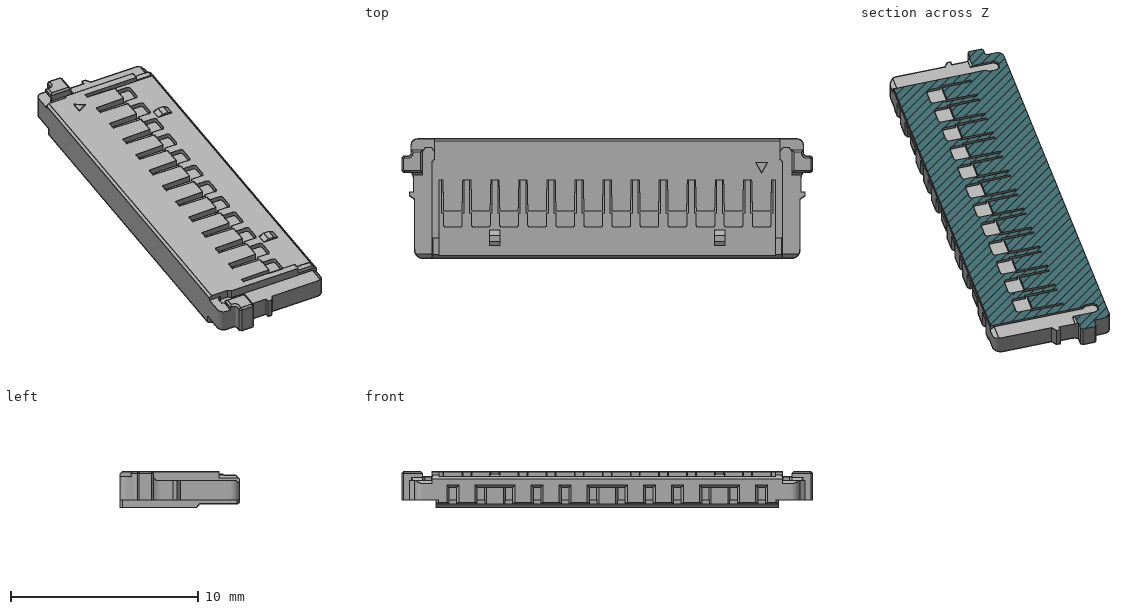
import cadquery as cq

WIDTH, DEPTH, HEIGHT = 21.95, 6.4, 1.92
FRONT, BACK = -DEPTH / 2, DEPTH / 2
MARGIN = 1.0

PITCH = 1.5
CONTACTS = 12
CONTACT_X = [(i - (CONTACTS - 1) / 2) * PITCH for i in range(CONTACTS)]
PAIRED_CONTACTS = [(1, 2), (5, 6), (9, 10)]

FRONT_UNDERSIDE_Z = 0.2
FLANGE_BOTTOM_Z = 0.4
POCKET_FLOOR_Z = 1.42
FLANGE_TOP_Z = 1.455
LEDGE_Z = 1.6
SHELF_Z = 1.65
DECK_Z = 1.67
LOW_RAIL_Z = 1.73

BACK_HALF = 10.49
MIDDLE_HALF = 10.355
BLEND_BACK_X, BLEND_FRONT_Y, BLEND_RADIUS = 10.47, 1.03, 0.65
FRONT_HALF = 10.3
TOOTH_HALF = 10.575
TOOTH_BACK_Y, TOOTH_TIP_Y, TOOTH_FRONT_Y = 0.36, 0.15, -0.04
BACK_CORNER_RADIUS = 0.36
FRONT_CORNER_RADIUS = 0.46
FLANGE_EDGE_RUN, FLANGE_EDGE_DROP = 0.23, 0.17

LATCH_OUTER = WIDTH / 2
LATCH_INNER = 9.87
LATCH_FRONT_Y, LATCH_TAB_BACK_Y, LATCH_BACK_Y = 1.4, 2.27, 2.6
LATCH_NECK_RADIUS = 0.15
LATCH_CHAMFER = 0.1
LATCH_EDGE_CHAMFER = 0.1
LEDGE_FRONT_Y = 1.25

NOTCH_Y, NOTCH_CORNER_Y = 2.72, 2.53
NOTCH_CORNER = 0.14

PLATE_BACK_HALF, PLATE_HALF = 9.24, 9.375
JOG_BACK_Y, JOG_FRONT_Y = 2.1, 1.95
PLATE_FRONT_Y = -2.1
PLATE_BACK_CHAMFER = 0.13
RAIL_TOP_HALF = 9.31
RAIL_BEVEL_Z = 1.59
CHANNEL_HALF = 8.99
CHANNEL_BACK_Y = 1.0
DECK_FRONT_CHAMFER = 0.15

FINGER_ROOT_HALF, FINGER_TIP_HALF = 0.53, 0.49
FINGER_TIP_Y = -0.66
SLIT_HALF, SLIT_FRONT_Y = 0.6, -0.76
POCKET_HALF, POCKET_FRONT_Y = 0.5, -1.53
POCKET_RADIUS = 0.13

BUMP_X = 6.0
BUMP_WIDTH, BUMP_TOP_Z = 0.56, 1.785
BUMP_BACK_Y, BUMP_FLAT_BACK_Y, BUMP_FLAT_FRONT_Y, BUMP_FRONT_Y = -1.68, -1.96, -2.28, -2.51

MARK_HALF, MARK_BACK_Y, MARK_TIP_Y, MARK_DEPTH = 0.31, 1.92, 1.38, 0.03

BLOCK_HALF = 9.16
BLOCK_CHAMFER = 0.13
STEP_TOP_Y, STEP_BOTTOM_Y = -1.08, -0.9
FRONT_LOWER_CHAMFER = 0.07
GROOVE_HALF, GROOVE_INNER_HALF = 0.32, 0.2
GROOVE_TOP_Z = 1.2
GROOVE_DEPTH = 0.3
GROOVE_SILL_DEPTH = 0.25
GROOVE_BEVEL = 0.12
ISLAND_FACE_HALF, ISLAND_ROOT_HALF, ISLAND_SETBACK = 0.45, 0.57, 0.12


def box(x0, x1, y0, y1, z0, z1):
    """Box between two opposite corners."""
    return cq.Workplane("XY").box(x1 - x0, y1 - y0, z1 - z0, centered=False).translate((x0, y0, z0))


def prism(points, z0, z1):
    """Plan outline raised from z0 to z1."""
    return cq.Workplane("XY").workplane(offset=z0).polyline(points).close().extrude(z1 - z0)


def profile(points, x0, x1):
    """Outline of (Y, Z) points swept along X from x0 to x1."""
    return cq.Workplane("YZ").workplane(offset=x0).polyline(points).close().extrude(x1 - x0)


def round_corner(solid, x, y, radius):
    """Fillet the upright edge nearest to the plan corner (x, y)."""
    corner = cq.selectors.NearestToPointSelector((x, y, FLANGE_TOP_Z / 2))
    return solid.edges("|Z").edges(corner).fillet(radius)


def both_sides(right):
    """The right-hand shape together with its mirror image."""
    return right.union(right.mirror("YZ"))


def flange_blank(top_z):
    """Right half of the flange plan, raised to top_z."""
    return (
        cq.Workplane("XY")
        .workplane(offset=FLANGE_BOTTOM_Z)
        .moveTo(0, BACK)
        .lineTo(BACK_HALF, BACK)
        .lineTo(BACK_HALF, LATCH_FRONT_Y)
        .lineTo(BLEND_BACK_X, LATCH_FRONT_Y)
        .radiusArc((MIDDLE_HALF, BLEND_FRONT_Y), -BLEND_RADIUS)
        .lineTo(MIDDLE_HALF, TOOTH_BACK_Y)
        .lineTo(TOOTH_HALF, TOOTH_BACK_Y)
        .lineTo(TOOTH_HALF, TOOTH_TIP_Y)
        .lineTo(FRONT_HALF, TOOTH_FRONT_Y)
        .lineTo(FRONT_HALF, FRONT)
        .lineTo(0, FRONT)
        .close()
        .extrude(top_z - FLANGE_BOTTOM_Z)
    )


def make_flange():
    """Side flanges with rounded corners and a bevelled front edge."""
    right = flange_blank(FLANGE_TOP_Z)
    right = round_corner(right, BACK_HALF, BACK, BACK_CORNER_RADIUS)
    right = round_corner(right, FRONT_HALF, FRONT, FRONT_CORNER_RADIUS)
    front_edge = [
        (FRONT, FLANGE_TOP_Z - FLANGE_EDGE_DROP),
        (FRONT + FLANGE_EDGE_RUN, FLANGE_TOP_Z),
        (FRONT, FLANGE_TOP_Z),
    ]
    return both_sides(right.cut(profile(front_edge, 0, WIDTH)))


def make_shelf():
    """Raised back corner of the flange, notched beside the plate."""
    right_edge = [
        (0, BACK),
        (BACK_HALF, BACK),
        (BACK_HALF, NOTCH_CORNER_Y),
        (LATCH_INNER, NOTCH_CORNER_Y),
        (LATCH_INNER - NOTCH_CORNER, NOTCH_Y),
        (PLATE_BACK_HALF + NOTCH_CORNER, NOTCH_Y),
        (PLATE_BACK_HALF, NOTCH_CORNER_Y),
        (0, NOTCH_CORNER_Y),
    ]
    right = prism(right_edge, FLANGE_BOTTOM_Z, SHELF_Z)
    return both_sides(round_corner(right, BACK_HALF, BACK, BACK_CORNER_RADIUS))


def make_latches():
    """Bevelled side latches, each with a ramped ledge at its front foot."""
    right_edge = [
        (LATCH_INNER, LATCH_FRONT_Y),
        (LATCH_OUTER, LATCH_FRONT_Y),
        (LATCH_OUTER, LATCH_TAB_BACK_Y),
        (BACK_HALF, LATCH_TAB_BACK_Y),
        (BACK_HALF, LATCH_BACK_Y),
        (LATCH_INNER, LATCH_BACK_Y),
    ]
    right = prism(right_edge, FLANGE_BOTTOM_Z, HEIGHT)
    right = round_corner(right, BACK_HALF, LATCH_TAB_BACK_Y, LATCH_NECK_RADIUS)
    right = right.edges("|Z and >X").chamfer(LATCH_EDGE_CHAMFER)
    right = right.faces(">Z").chamfer(LATCH_CHAMFER)
    ramp = [
        (LEDGE_FRONT_Y, FLANGE_BOTTOM_Z),
        (LEDGE_FRONT_Y, FLANGE_TOP_Z),
        (LATCH_FRONT_Y, LEDGE_Z),
        (LATCH_FRONT_Y, FLANGE_BOTTOM_Z),
    ]
    ledge = flange_blank(LEDGE_Z).intersect(profile(ramp, LATCH_INNER, LATCH_OUTER))
    return both_sides(right.union(ledge))


def make_plate():
    """Raised top plate over a lower deck, reaching down to the front underside."""
    right_edge = [
        (0, BACK),
        (PLATE_BACK_HALF, BACK),
        (PLATE_BACK_HALF, JOG_BACK_Y),
        (PLATE_HALF, JOG_FRONT_Y),
        (PLATE_HALF, PLATE_FRONT_Y),
        (0, PLATE_FRONT_Y),
    ]
    plate = both_sides(prism(right_edge, FLANGE_BOTTOM_Z, HEIGHT))
    plate = plate.edges(">Y and >Z").chamfer(PLATE_BACK_CHAMFER)
    channel = box(-CHANNEL_HALF, CHANNEL_HALF, FRONT, CHANNEL_BACK_Y, DECK_Z, HEIGHT)
    deck = (
        cq.Workplane("XZ", origin=(0, PLATE_FRONT_Y, 0))
        .moveTo(-PLATE_HALF, FLANGE_BOTTOM_Z)
        .lineTo(-PLATE_HALF, RAIL_BEVEL_Z)
        .lineTo(-RAIL_TOP_HALF, LOW_RAIL_Z)
        .lineTo(RAIL_TOP_HALF, LOW_RAIL_Z)
        .lineTo(PLATE_HALF, RAIL_BEVEL_Z)
        .lineTo(PLATE_HALF, FLANGE_BOTTOM_Z)
        .close()
        .extrude(PLATE_FRONT_Y - FRONT)
    )
    front_edge = [
        (FRONT, DECK_Z - DECK_FRONT_CHAMFER),
        (FRONT + DECK_FRONT_CHAMFER + MARGIN, DECK_Z + MARGIN),
        (FRONT, DECK_Z + MARGIN),
    ]
    return plate.union(deck.cut(profile(front_edge, -WIDTH, WIDTH))).cut(channel)


def make_block():
    """Lower block, stepped up to a shallower underside at the front."""
    side = [
        (FRONT, FLANGE_BOTTOM_Z),
        (FRONT, FRONT_UNDERSIDE_Z + FRONT_LOWER_CHAMFER),
        (FRONT + BLOCK_CHAMFER, FRONT_UNDERSIDE_Z),
        (STEP_TOP_Y, FRONT_UNDERSIDE_Z),
        (STEP_BOTTOM_Y, 0),
        (BACK, 0),
        (BACK, FLANGE_BOTTOM_Z),
    ]
    block = profile(side, -BLOCK_HALF, BLOCK_HALF)
    return block.edges("|Z").edges(">Y or <Y").chamfer(BLOCK_CHAMFER)


def finger_pocket(x):
    """Recess in front of a finger, with a slit along each of its sides."""
    slits = box(x - SLIT_HALF, x + SLIT_HALF, SLIT_FRONT_Y, CHANNEL_BACK_Y, POCKET_FLOOR_Z, HEIGHT)
    recess = box(x - POCKET_HALF, x + POCKET_HALF, POCKET_FRONT_Y, CHANNEL_BACK_Y, POCKET_FLOOR_Z, HEIGHT)
    return slits.union(recess.edges("|Z and <Y").fillet(POCKET_RADIUS))


def make_finger(x):
    """Finger level with the top plate, narrowing toward its tip."""
    outline = [
        (x - FINGER_ROOT_HALF, CHANNEL_BACK_Y),
        (x + FINGER_ROOT_HALF, CHANNEL_BACK_Y),
        (x + FINGER_TIP_HALF, FINGER_TIP_Y),
        (x - FINGER_TIP_HALF, FINGER_TIP_Y),
    ]
    return prism(outline, POCKET_FLOOR_Z, HEIGHT)


def make_bump(x):
    """Small ridge on the deck, sloped at its front and back."""
    side = [
        (BUMP_FRONT_Y, DECK_Z),
        (BUMP_FLAT_FRONT_Y, BUMP_TOP_Z),
        (BUMP_FLAT_BACK_Y, BUMP_TOP_Z),
        (BUMP_BACK_Y, DECK_Z),
    ]
    return profile(side, x - BUMP_WIDTH / 2, x + BUMP_WIDTH / 2)


def front_groove(x0, x1):
    """Groove in the front face serving contacts from x0 to x1, bevelled at its mouth."""
    outer0, outer1 = x0 - GROOVE_HALF, x1 + GROOVE_HALF
    inner0, inner1 = x0 - GROOVE_INNER_HALF, x1 + GROOVE_INNER_HALF
    floor_y = FRONT + GROOVE_DEPTH
    mouth = prism(
        [(outer0, FRONT), (outer1, FRONT), (inner1, FRONT + GROOVE_BEVEL), (inner0, FRONT + GROOVE_BEVEL)],
        0,
        GROOVE_TOP_Z,
    )
    throat = box(inner0, inner1, FRONT, floor_y, FLANGE_BOTTOM_Z, GROOVE_TOP_Z)
    sill = box(inner0, inner1, FRONT, FRONT + GROOVE_SILL_DEPTH, 0, FLANGE_BOTTOM_Z)
    top_bevel = [
        (FRONT, GROOVE_TOP_Z),
        (floor_y, GROOVE_TOP_Z),
        (floor_y, GROOVE_TOP_Z - GROOVE_BEVEL),
        (FRONT + GROOVE_BEVEL, GROOVE_TOP_Z - GROOVE_BEVEL),
    ]
    return mouth.union(throat).union(sill).cut(profile(top_bevel, outer0, outer1))


def groove_island(x):
    """Raised pad standing between the two contacts of a wide groove."""
    face_y = FRONT + ISLAND_SETBACK
    root_y = FRONT + GROOVE_DEPTH
    outline = [
        (x - ISLAND_FACE_HALF, face_y),
        (x + ISLAND_FACE_HALF, face_y),
        (x + ISLAND_ROOT_HALF, root_y),
        (x - ISLAND_ROOT_HALF, root_y),
    ]
    return prism(outline, FRONT_UNDERSIDE_Z, GROOVE_TOP_Z)


def pin_mark(x):
    """Shallow triangular recess pointing at a contact."""
    outline = [(x - MARK_HALF, MARK_BACK_Y), (x + MARK_HALF, MARK_BACK_Y), (x, MARK_TIP_Y)]
    return prism(outline, HEIGHT - MARK_DEPTH, HEIGHT)


result = make_flange().union(make_shelf()).union(make_plate()).union(make_block()).union(make_latches())

for contact_x in CONTACT_X:
    result = result.cut(finger_pocket(contact_x)).union(make_finger(contact_x))

for bump_x in (-BUMP_X, BUMP_X):
    result = result.union(make_bump(bump_x))

paired = [contact for pair in PAIRED_CONTACTS for contact in pair]
for contact, contact_x in enumerate(CONTACT_X):
    if contact not in paired:
        result = result.cut(front_groove(contact_x, contact_x))

for first, second in PAIRED_CONTACTS:
    result = result.cut(front_groove(CONTACT_X[first], CONTACT_X[second]))
    result = result.union(groove_island((CONTACT_X[first] + CONTACT_X[second]) / 2))

result = result.cut(pin_mark(CONTACT_X[-1]))